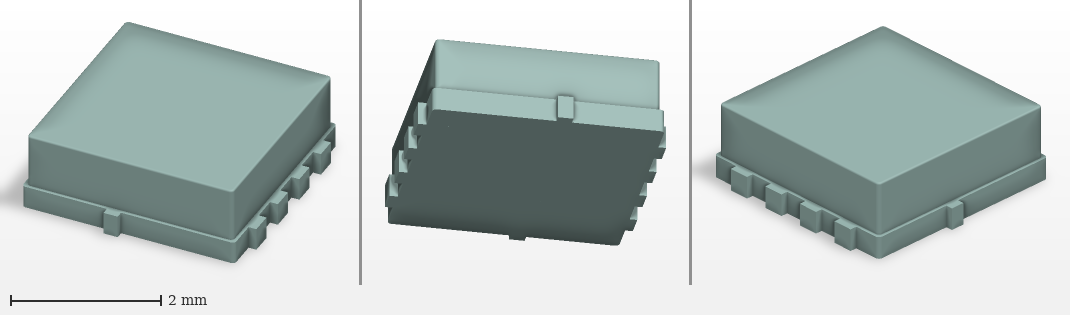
import cadquery as cq

base_size = 3.15
base_height = 0.33
total_height = 1.12
ledge_width = 0.05
cap_size = base_size - 2 * ledge_width
cap_height = total_height - base_height
corner_radius = 0.06
cap_edge_round = 0.03

leads_per_side = 4
lead_pitch = 0.66
lead_width = 0.31
source_lead_projection = 0.105
drain_lead_projection = 0.115
lead_embedment = 0.40

tab_width = 0.21
tab_center_x = -0.21
tab_projection = 0.105

base_half = base_size / 2
lead_row_span = (leads_per_side - 1) * lead_pitch
lead_positions = [index * lead_pitch - lead_row_span / 2 for index in range(leads_per_side)]
pad_width = lead_row_span + lead_width
pad_left = tab_center_x - tab_width / 2
pad_right = base_half - lead_embedment


def lead_frame_bar(x_min, x_max, y_center, y_width):
    """Rectangular bar of lead-frame metal, as thick as the base."""
    return (
        cq.Workplane("XY")
        .box(x_max - x_min, y_width, base_height, centered=(False, True, False))
        .translate((x_min, y_center, 0))
    )


def make_source_lead(y_center):
    """One separate lead on the -X side."""
    return lead_frame_bar(
        -base_half - source_lead_projection,
        -base_half + lead_embedment,
        y_center,
        lead_width,
    )


def make_drain_frame():
    """Drain pad in one piece with the four +X leads and the two tie tabs."""
    frame = lead_frame_bar(pad_left, pad_right, 0, pad_width)
    for y_center in lead_positions:
        lead = lead_frame_bar(pad_right, base_half + drain_lead_projection, y_center, lead_width)
        frame = frame.union(lead)
    tie_bar = lead_frame_bar(pad_left, pad_left + tab_width, 0, base_size + 2 * tab_projection)
    return frame.union(tie_bar)


def make_housing(inserts):
    """Base and rounded cap, with a matching recess for each lead-frame insert."""
    base = cq.Workplane("XY").box(base_size, base_size, base_height, centered=(True, True, False))
    base = base.edges("|Z").fillet(corner_radius)
    cap = cq.Workplane("XY").box(cap_size, cap_size, cap_height, centered=(True, True, False))
    cap = cap.edges("|Z").fillet(corner_radius)
    cap = cap.faces(">Z").edges().fillet(cap_edge_round)
    housing = base.union(cap.translate((0, 0, base_height)))
    for insert in inserts:
        housing = housing.cut(insert)
    return housing


source_leads = [make_source_lead(y_center) for y_center in lead_positions]
drain_frame = make_drain_frame()
housing = make_housing(source_leads + [drain_frame])

result = cq.Compound.makeCompound(
    [housing.val(), drain_frame.val(), *[lead.val() for lead in source_leads]]
)